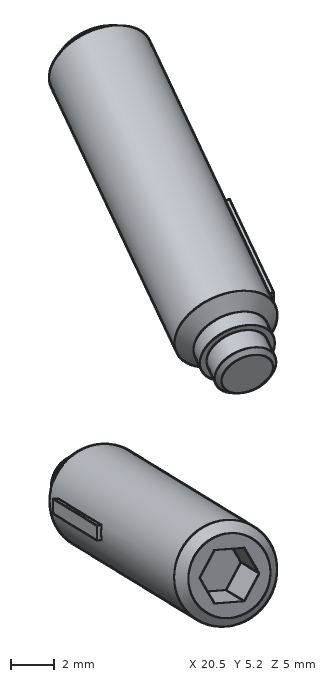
import cadquery as cq
import math

total_length = 20.5
body_diameter = 5.0
width_over_key = 5.2

drive_chamfer = 0.51
body_end = 17.6

collar_diameter = 3.65
collar_end = 19.15
pin_diameter = 3.0
pin_chamfer = 0.25

socket_sides = 6
socket_across_flats = 2.5
socket_depth = 2.5

key_start = 10.52
key_length = 6.0
key_width = 0.7

body_radius = body_diameter / 2
collar_radius = collar_diameter / 2
pin_radius = pin_diameter / 2


def make_turned_body():
    """Body, 45 degree cone, collar and pin revolved about X."""
    collar_start = body_end + body_radius - collar_radius
    half_section = (
        cq.Workplane("XY")
        .polyline([
            (0, 0),
            (0, body_radius - drive_chamfer),
            (drive_chamfer, body_radius),
            (body_end, body_radius),
            (collar_start, collar_radius),
            (collar_end, collar_radius),
            (collar_end, pin_radius),
            (total_length - pin_chamfer, pin_radius),
            (total_length, pin_radius - pin_chamfer),
            (total_length, 0),
        ])
        .close()
    )
    return half_section.revolve(360, (0, 0, 0), (1, 0, 0))


def make_socket():
    """Hexagonal prism with two corners on the Y axis and flats facing Z."""
    across_corners = socket_across_flats / math.cos(math.pi / socket_sides)
    return (
        cq.Workplane("YZ")
        .polygon(socket_sides, across_corners)
        .extrude(socket_depth)
    )


def make_key():
    """Flat bar from the screw axis out past the body surface on +Y."""
    key_top = width_over_key - body_radius
    return (
        cq.Workplane("XY")
        .box(key_length, key_top, key_width, centered=(False, False, True))
        .translate((key_start, 0, 0))
    )


result = make_turned_body().union(make_key()).cut(make_socket())